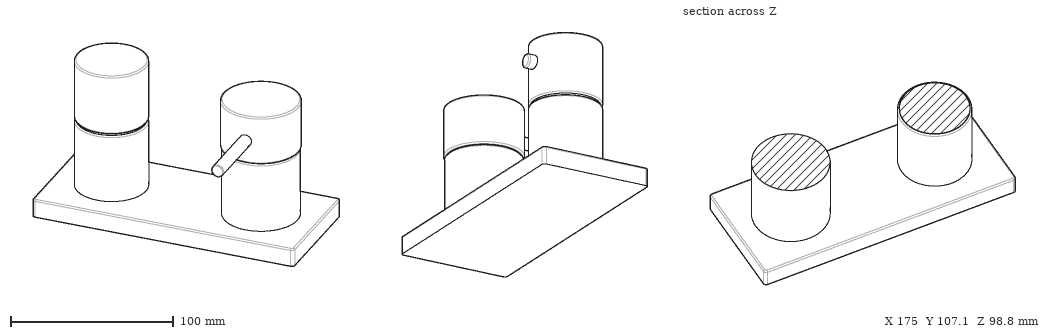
import cadquery as cq
PLATE_LENGTH = 175.0
PLATE_WIDTH = 75.0
PLATE_HEIGHT = 12.0
PLATE_CORNER_RADIUS = 2.0
PLATE_TOP_RADIUS = 1.0

TOWER_OFFSET = 50.0
BODY_EDGE_RADIUS = 1.0
KNOB_EDGE_RADIUS = 1.0
NECK_INSET = 1.1

TEMPERATURE_DIAMETER = 46.0
TEMPERATURE_BODY_TOP = 57.4
TEMPERATURE_KNOB_BOTTOM = 58.6
TEMPERATURE_KNOB_TOP = 98.8
BUTTON_DIAMETER = 9.0
BUTTON_Z = 83.2
BUTTON_REACH = 28.5
BUTTON_EDGE_RADIUS = 1.0

FLOW_BODY_DIAMETER = 48.8
FLOW_KNOB_DIAMETER = 50.0
FLOW_BODY_TOP = 58.4
FLOW_KNOB_BOTTOM = 58.8
FLOW_KNOB_TOP = 91.2
LEVER_DIAMETER = 8.0
LEVER_Z = 74.3
OVERALL_WIDTH = 107.1
LEVER_REACH = OVERALL_WIDTH - PLATE_WIDTH / 2
LEVER_EDGE_RADIUS = 0.5


def make_plate():
    """Rectangular plate with rounded corners and a rounded top edge."""
    plate = cq.Workplane("XY").box(PLATE_LENGTH, PLATE_WIDTH, PLATE_HEIGHT, centered=(True, True, False))
    plate = plate.edges("|Z").fillet(PLATE_CORNER_RADIUS)
    return plate.faces(">Z").edges().fillet(PLATE_TOP_RADIUS)


def make_cylinder(diameter, bottom, top):
    """Upright cylinder on the Z axis between two heights."""
    return cq.Workplane("XY").workplane(offset=bottom).circle(diameter / 2).extrude(top - bottom)


def make_tower(x, body_diameter, body_top, knob_diameter, knob_bottom, knob_top):
    """Body, recessed neck and knob stacked on the plate at the given X."""
    body = make_cylinder(body_diameter, PLATE_HEIGHT, body_top)
    body = body.faces(">Z").edges().fillet(BODY_EDGE_RADIUS)
    knob = make_cylinder(knob_diameter, knob_bottom, knob_top)
    knob = knob.faces("<Z or >Z").edges().fillet(KNOB_EDGE_RADIUS)
    neck_diameter = body_diameter - 2 * NECK_INSET
    neck = make_cylinder(neck_diameter, PLATE_HEIGHT, knob_bottom + KNOB_EDGE_RADIUS)
    return body.union(neck).union(knob).translate((x, 0, 0))


def make_side_pin(x, z, direction, diameter, reach, edge_radius):
    """Round pin from a tower axis along Y (direction +1 or -1), rounded at its free end."""
    plane = cq.Plane(origin=(x, 0, z), xDir=(1, 0, 0), normal=(0, direction, 0))
    pin = cq.Workplane(plane).circle(diameter / 2).extrude(reach)
    free_end = ">Y" if direction > 0 else "<Y"
    return pin.faces(free_end).edges().fillet(edge_radius)


temperature_tower = make_tower(
    -TOWER_OFFSET,
    TEMPERATURE_DIAMETER,
    TEMPERATURE_BODY_TOP,
    TEMPERATURE_DIAMETER,
    TEMPERATURE_KNOB_BOTTOM,
    TEMPERATURE_KNOB_TOP,
)
flow_tower = make_tower(
    TOWER_OFFSET,
    FLOW_BODY_DIAMETER,
    FLOW_BODY_TOP,
    FLOW_KNOB_DIAMETER,
    FLOW_KNOB_BOTTOM,
    FLOW_KNOB_TOP,
)
stop_button = make_side_pin(-TOWER_OFFSET, BUTTON_Z, 1, BUTTON_DIAMETER, BUTTON_REACH, BUTTON_EDGE_RADIUS)
lever = make_side_pin(TOWER_OFFSET, LEVER_Z, -1, LEVER_DIAMETER, LEVER_REACH, LEVER_EDGE_RADIUS)

result = make_plate().union(temperature_tower).union(flow_tower).union(stop_button).union(lever)